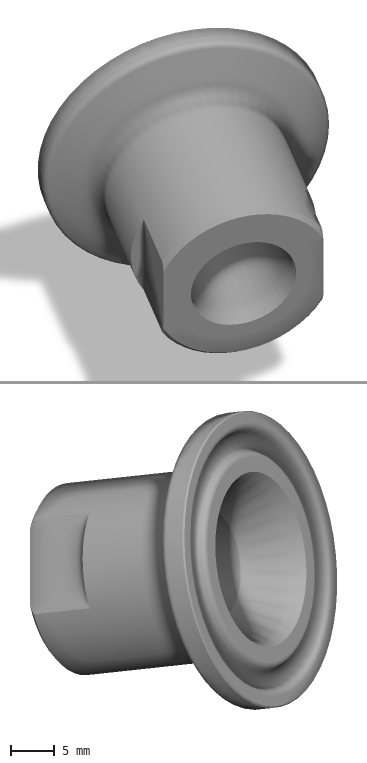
import cadquery as cq
import math

length = 25.0
flange_radius = 17.0
body_diameter = 22.0
body_radius = body_diameter / 2
end_chamfer = 0.5

face_edge_chamfer = 0.17
rim_straight_end = 2.3
rim_round_radius = 0.8
root_round_radius = 1.97
back_slope = math.radians(20)

mouth_radius = 10.03
bore_radius = 6.25
taper_depth = 6.45

groove_radius = 13.7
groove_half_width = 1.97
groove_bottom_radius = 1.15
groove_lip_radius = 0.78
groove_flank_angle = math.radians(65)

width_across_flats = 19.0
flat_start = 17.07


def revolve_about_x(profile):
    return profile.close().revolve(360, (0, 0, 0), (1, 0, 0))


def arc_point(center, radius, angle):
    """Point on a circle in the (axial, radial) plane; angle starts at +X."""
    return (center[0] + radius * math.cos(angle), center[1] + radius * math.sin(angle))


def make_blank():
    rim_center = (rim_straight_end, flange_radius - rim_round_radius)
    rim_tangent = arc_point(rim_center, rim_round_radius, back_slope)
    rim_middle = arc_point(rim_center, rim_round_radius, (math.pi / 2 + back_slope) / 2)

    root_drop = root_round_radius * (1 - math.sin(back_slope))
    root_tangent_radius = body_radius + root_drop
    root_tangent_x = rim_tangent[0] + (rim_tangent[1] - root_tangent_radius) * math.tan(back_slope)
    root_center = (
        root_tangent_x + root_round_radius * math.cos(back_slope),
        body_radius + root_round_radius,
    )
    root_middle_angle = math.pi + (math.pi / 2 + back_slope) / 2
    root_middle = arc_point(root_center, root_round_radius, root_middle_angle)

    profile = (
        cq.Workplane("XY")
        .moveTo(0, mouth_radius)
        .lineTo(0, flange_radius - face_edge_chamfer)
        .lineTo(face_edge_chamfer, flange_radius)
        .lineTo(rim_straight_end, flange_radius)
        .threePointArc(rim_middle, rim_tangent)
        .lineTo(root_tangent_x, root_tangent_radius)
        .threePointArc(root_middle, (root_center[0], body_radius))
        .lineTo(length - end_chamfer, body_radius)
        .lineTo(length, body_radius - end_chamfer)
        .lineTo(length, bore_radius)
        .lineTo(taper_depth, bore_radius)
    )
    return revolve_about_x(profile)


def make_groove():
    """Ring with a round bottom, straight flanks and rounded lips."""
    sine = math.sin(groove_flank_angle)
    cosine = math.cos(groove_flank_angle)
    lip_half = groove_half_width - groove_lip_radius * sine
    lip_depth = groove_lip_radius * (1 - cosine)
    bottom_half = groove_bottom_radius * sine
    flank_depth = (lip_half - bottom_half) * math.tan(groove_flank_angle)
    bottom_start = lip_depth + flank_depth
    depth = bottom_start + groove_bottom_radius * (1 - cosine)

    lip_middle_half = groove_half_width - groove_lip_radius * math.sin(groove_flank_angle / 2)
    lip_middle_depth = groove_lip_radius * (1 - math.cos(groove_flank_angle / 2))

    profile = (
        cq.Workplane("XY")
        .moveTo(0, groove_radius - groove_half_width)
        .threePointArc(
            (lip_middle_depth, groove_radius - lip_middle_half),
            (lip_depth, groove_radius - lip_half),
        )
        .lineTo(bottom_start, groove_radius - bottom_half)
        .threePointArc((depth, groove_radius), (bottom_start, groove_radius + bottom_half))
        .lineTo(lip_depth, groove_radius + lip_half)
        .threePointArc(
            (lip_middle_depth, groove_radius + lip_middle_half),
            (0, groove_radius + groove_half_width),
        )
    )
    return revolve_about_x(profile)


def make_flat_cutter(side):
    """Block outside one wrench flat; side is -1 or +1 along Y."""
    flat_length = length - flat_start
    cut_thickness = body_radius
    return cq.Workplane("XY").box(flat_length, cut_thickness, 2 * body_radius).translate(
        (flat_start + flat_length / 2, side * (width_across_flats / 2 + cut_thickness / 2), 0)
    )


result = make_blank().cut(make_groove())
for side in (-1, 1):
    result = result.cut(make_flat_cutter(side))